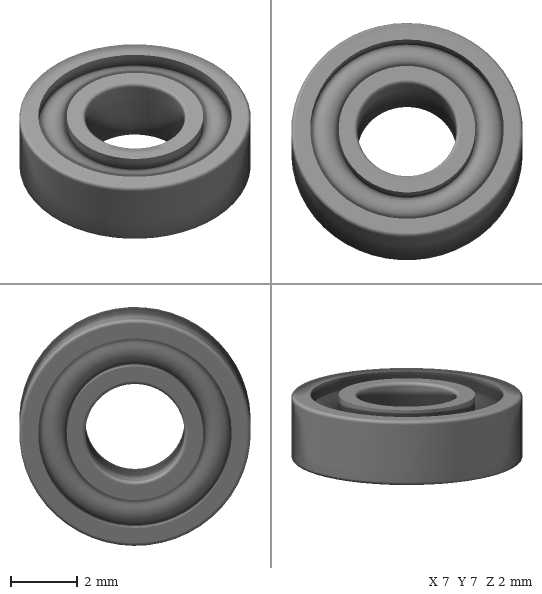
import cadquery as cq

outer_diameter = 7.0
bore_diameter = 3.0
width = 2.0
inner_ring_diameter = 4.13
outer_ring_diameter = 5.85
edge_fillet = 0.105
ball_radius = 0.73

pitch_radius = (inner_ring_diameter + outer_ring_diameter) / 4


def ring(outside_diameter, inside_diameter):
    """Plain ring of the bearing width, centred on the origin."""
    return (
        cq.Workplane("XY")
        .workplane(offset=-width / 2)
        .circle(outside_diameter / 2)
        .circle(inside_diameter / 2)
        .extrude(width)
    )


outer_ring = ring(outer_diameter, outer_ring_diameter)
outer_ring = outer_ring.edges(cq.selectors.RadiusNthSelector(-1)).fillet(edge_fillet)
inner_ring = ring(inner_ring_diameter, bore_diameter)
inner_ring = inner_ring.edges(cq.selectors.RadiusNthSelector(0)).fillet(edge_fillet)

ball_row = cq.Workplane(cq.Solid.makeTorus(pitch_radius, ball_radius))

result = outer_ring.union(inner_ring).union(ball_row)